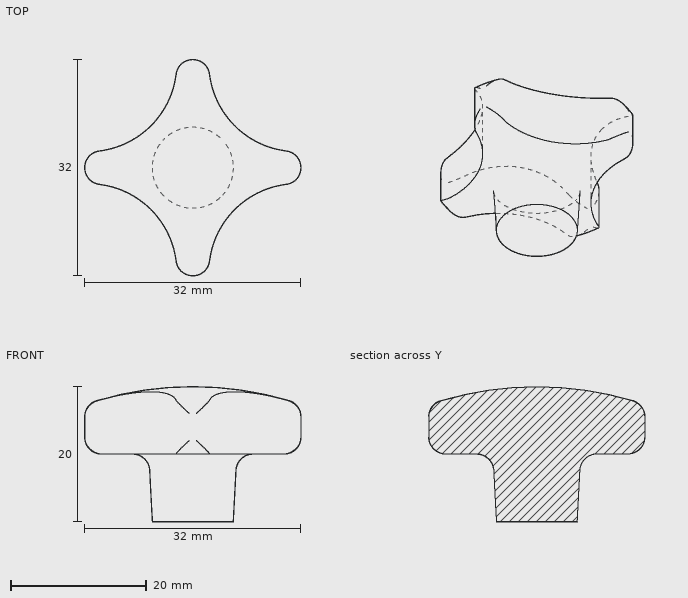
import cadquery as cq
import math


HEAD_DIAMETER = 32.0
TOTAL_HEIGHT = 20.0
HUB_HEIGHT = 10.0
HUB_END_DIAMETER = 12.0
HUB_DRAFT = math.radians(3.0)
HUB_FILLET = 2.5
DOME_RADIUS = 50.0
LOBE_COUNT = 4
TIP_RADIUS = 2.5
HOLLOW_RADIUS = 13.0
RIM_FILLET = 2.5

HEAD_RADIUS = HEAD_DIAMETER / 2
HUB_END_RADIUS = HUB_END_DIAMETER / 2


def polar(center, radius, angle):
    """Point on a circle, at an angle in radians from the first axis."""
    return (center[0] + radius * math.cos(angle), center[1] + radius * math.sin(angle))


def revolved_blank():
    """Hub and domed head as one turned body about Z; profile points are (radius, z)."""
    hub_fillet_z = HUB_HEIGHT - HUB_FILLET
    hub_tangent_z = hub_fillet_z + HUB_FILLET * math.sin(HUB_DRAFT)
    hub_tangent_radius = HUB_END_RADIUS + hub_tangent_z * math.tan(HUB_DRAFT)
    hub_fillet_center = (hub_tangent_radius + HUB_FILLET * math.cos(HUB_DRAFT), hub_fillet_z)
    hub_fillet_middle = (math.pi - HUB_DRAFT + math.pi / 2) / 2

    rim_center_radius = HEAD_RADIUS - RIM_FILLET
    lower_rim_center = (rim_center_radius, HUB_HEIGHT + RIM_FILLET)
    dome_center = (0, TOTAL_HEIGHT - DOME_RADIUS)
    dome_edge_angle = math.acos(rim_center_radius / (DOME_RADIUS - RIM_FILLET))
    upper_rim_center = polar(dome_center, DOME_RADIUS - RIM_FILLET, dome_edge_angle)
    dome_middle = (dome_edge_angle + math.pi / 2) / 2

    profile = (
        cq.Workplane("XZ")
        .moveTo(0, 0)
        .lineTo(HUB_END_RADIUS, 0)
        .lineTo(hub_tangent_radius, hub_tangent_z)
        .threePointArc(
            polar(hub_fillet_center, HUB_FILLET, hub_fillet_middle),
            (hub_fillet_center[0], HUB_HEIGHT),
        )
        .lineTo(rim_center_radius, HUB_HEIGHT)
        .threePointArc(
            polar(lower_rim_center, RIM_FILLET, -math.pi / 4),
            (HEAD_RADIUS, lower_rim_center[1]),
        )
        .lineTo(HEAD_RADIUS, upper_rim_center[1])
        .threePointArc(
            polar(upper_rim_center, RIM_FILLET, dome_edge_angle / 2),
            polar(dome_center, DOME_RADIUS, dome_edge_angle),
        )
        .threePointArc(polar(dome_center, DOME_RADIUS, dome_middle), (0, TOTAL_HEIGHT))
        .close()
    )
    return profile.revolve(360, (0, 0, 0), (0, 1, 0))


def star_prism():
    """Full-height prism of rounded tips joined by tangent concave arcs."""
    pitch = 2 * math.pi / LOBE_COUNT
    half_pitch = pitch / 2
    tip_center_radius = HEAD_RADIUS - TIP_RADIUS

    center_spacing = TIP_RADIUS + HOLLOW_RADIUS
    hollow_center_radius = tip_center_radius * math.cos(half_pitch) + math.sqrt(
        center_spacing**2 - (tip_center_radius * math.sin(half_pitch)) ** 2
    )
    tangent_angle = math.atan2(
        hollow_center_radius * math.sin(half_pitch),
        hollow_center_radius * math.cos(half_pitch) - tip_center_radius,
    )
    hollow_floor_radius = hollow_center_radius - HOLLOW_RADIUS

    origin = (0, 0)
    first_tip_center = polar(origin, tip_center_radius, 0)
    outline = cq.Workplane("XY").moveTo(*polar(first_tip_center, TIP_RADIUS, -tangent_angle))
    for lobe in range(LOBE_COUNT):
        angle = lobe * pitch
        tip_center = polar(origin, tip_center_radius, angle)
        next_tip_center = polar(origin, tip_center_radius, angle + pitch)
        outline = outline.threePointArc(
            polar(origin, HEAD_RADIUS, angle),
            polar(tip_center, TIP_RADIUS, angle + tangent_angle),
        )
        outline = outline.threePointArc(
            polar(origin, hollow_floor_radius, angle + half_pitch),
            polar(next_tip_center, TIP_RADIUS, angle + pitch - tangent_angle),
        )
    return outline.close().extrude(TOTAL_HEIGHT)


result = revolved_blank().intersect(star_prism())